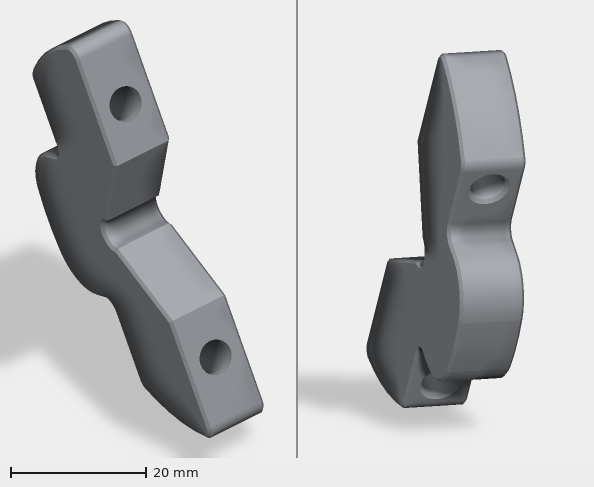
import cadquery as cq
import math

thickness = 10.0
tilt_angle = 35.0
disc_radius = 32.4
outer_face = -1.2
wing_depth = 18.5
rear_face = outer_face - wing_depth
notch_depth = 12.75
notch_apex = outer_face - notch_depth
relief_radius = 2.3
nose_half_width = 11.7
nose_corner_radius = 7.8
neck_radius = 2.0
tip_radius = 2.0
edge_chamfer = 0.45

hole_offset = 20.8
hole_diameter = 5.35
countersink_diameter = 6.35


def block(u_start, u_end, half_width):
    """Rectangular block centred on the u axis."""
    return (
        cq.Workplane("XY")
        .center((u_start + u_end) / 2, 0)
        .rect(u_end - u_start, 2 * half_width)
        .extrude(thickness)
    )


def upright_edges_at(solid, u, v):
    """Pair of upright edges through (u, v) and (u, -v)."""
    tolerance = 0.05
    edges = solid.edges("|Z")
    for side in (1, -1):
        box = cq.selectors.BoxSelector(
            (u - tolerance, side * v - tolerance, 0),
            (u + tolerance, side * v + tolerance, thickness),
        )
        selector = box if side == 1 else selector + box
    return edges.edges(selector)


def half_chord(u):
    """Half width of the bounding disc at position u."""
    return math.sqrt(disc_radius**2 - u**2)


def make_blank():
    """Wing bar and nose, trimmed by the disc and rounded at the corners."""
    disc = cq.Workplane("XY").circle(disc_radius).extrude(thickness)
    wings = block(rear_face, outer_face, disc_radius)
    nose = block(-disc_radius, notch_apex, nose_half_width)
    blank = wings.union(nose).intersect(disc)
    nose_corner = -half_chord(nose_half_width)
    corners = (
        (outer_face, half_chord(outer_face), tip_radius),
        (rear_face, half_chord(rear_face), tip_radius),
        (rear_face, nose_half_width, neck_radius),
        (nose_corner, nose_half_width, nose_corner_radius),
    )
    for u, v, radius in corners:
        blank = upright_edges_at(blank, u, v).fillet(radius)
    return blank


def make_notch():
    """V notch with a round relief whose rim touches the apex."""
    wedge = (
        cq.Workplane("XY")
        .moveTo(notch_apex, 0)
        .lineTo(outer_face, notch_depth)
        .lineTo(outer_face, -notch_depth)
        .close()
        .extrude(thickness)
    )
    relief = (
        cq.Workplane("XY")
        .center(notch_apex + relief_radius, 0)
        .circle(relief_radius)
        .extrude(thickness)
    )
    return wedge.union(relief)


def make_hole(v):
    """Through hole along u, countersunk at 90 degrees on the rear face."""
    start = cq.Vector(rear_face, v, thickness / 2)
    along = cq.Vector(1, 0, 0)
    sink_depth = (countersink_diameter - hole_diameter) / 2
    bore = cq.Solid.makeCylinder(hole_diameter / 2, wing_depth, start, along)
    sink = cq.Solid.makeCone(
        countersink_diameter / 2, hole_diameter / 2, sink_depth, start, along
    )
    return cq.Workplane(obj=bore.fuse(sink))


body = make_blank().cut(make_notch())
body = body.faces("<Z or >Z").chamfer(edge_chamfer)
for hole_position in (hole_offset, -hole_offset):
    body = body.cut(make_hole(hole_position))

body = body.rotate((0, 0, 0), (0, 0, 1), tilt_angle)
body = body.rotate((0, 0, 0), (1, 0, 0), 90)
result = body.translate(body.val().BoundingBox().center * -1)